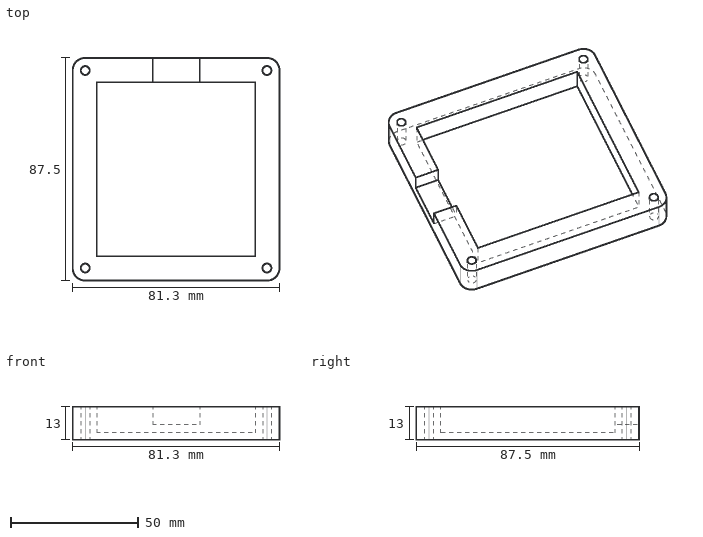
import cadquery as cq

width = 81.3
length = 87.5
height = 13.0
corner_radius = 5.0

rim = 9.5
floor_thickness = 3.0

notch_width = 18.5
notch_depth = 7.0

hole_diameter = 3.4


def make_block():
    block = cq.Workplane("XY").box(width, length, height, centered=(True, True, False))
    return block.edges("|Z").fillet(corner_radius)


def make_pocket():
    return (
        cq.Workplane("XY", origin=(0, 0, floor_thickness))
        .rect(width - 2 * rim, length - 2 * rim)
        .extrude(height - floor_thickness)
    )


def make_notch():
    return (
        cq.Workplane("XY", origin=(0, (length - rim) / 2, height - notch_depth))
        .rect(notch_width, rim)
        .extrude(notch_depth)
    )


def make_holes():
    return (
        cq.Workplane("XY")
        .rect(width - 2 * corner_radius, length - 2 * corner_radius, forConstruction=True)
        .vertices()
        .circle(hole_diameter / 2)
        .extrude(height)
    )


result = make_block().cut(make_pocket()).cut(make_notch()).cut(make_holes())